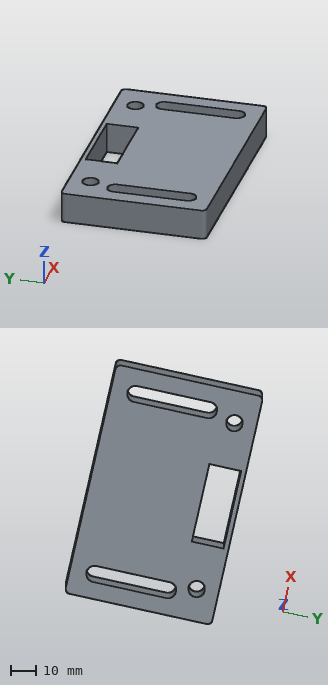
import cadquery as cq

length = 95
width = 60.0
thickness = 12.7
corner_radius = 2.0

hole_diameter = 6.6
hole_offset_x = 34.5
hole_y = 21.1
slot_length = 36.6
slot_offset_x = 37.4
slot_y = -5.0

window_length = 32.2
window_width = 13.0
back_wall = 2.0
window_y = width / 2 - back_wall - window_width / 2

plate = (
    cq.Workplane("XY")
    .rect(length, width)
    .extrude(thickness)
    .edges("|Z")
    .fillet(corner_radius)
)

holes = (
    cq.Workplane("XY")
    .pushPoints([(side * hole_offset_x, hole_y) for side in (-1, 1)])
    .circle(hole_diameter / 2)
    .extrude(thickness)
)

slots = (
    cq.Workplane("XY")
    .pushPoints([(side * slot_offset_x, slot_y) for side in (-1, 1)])
    .slot2D(slot_length, hole_diameter, angle=90)
    .extrude(thickness)
)

window = (
    cq.Workplane("XY")
    .center(0, window_y)
    .rect(window_length, window_width)
    .extrude(thickness)
)

result = plate.cut(holes).cut(slots).cut(window)